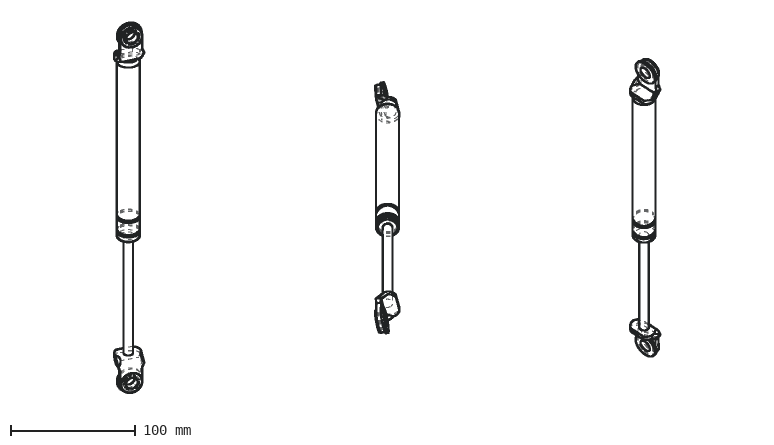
import cadquery as cq
import math

TOTAL_LENGTH = 345.0
MID_HEIGHT = TOTAL_LENGTH / 2

CYLINDER_RADIUS = 9.3
CYLINDER_BOTTOM = 143.0
NECK_RADIUS = 7.0
SHOULDER_HEIGHT = 3.0
BOTTOM_CHAMFER = 1.5
GROOVE_BOTTOMS = (148.5, 161.8)
GROOVE_WIDTH = 1.7
GROOVE_DEPTH = 0.7
ROD_RADIUS = 3.97

FLANGE_RADIUS = 10.5
OUTER_FLANGE_RADIUS = 9.0
INNER_FLANGE_THICKNESS = 2.0
OUTER_FLANGE_THICKNESS = 1.0
SLEEVE_RADIUS = 6.5
BORE_RADIUS = 5.0

SHEET = 3.8
PLATE_INNER_X = 3.5
PLATE_OUTER_X = PLATE_INNER_X + SHEET
BASE_FRONT_X = -8.3
BASE_HALF_WIDTH = 11.0
BASE_CORNER_START_X = -1.5
BASE_CORNER_RADIUS = 7.5
BEND_FILLET = 5.5
NECK_HALF_WIDTH = 9.3
BASE_BOTTOM = TOTAL_LENGTH - 34.0
BASE_TOP = BASE_BOTTOM + SHEET
SHOULDER_TOP = BASE_BOTTOM + 7.2
NECK_START = BASE_BOTTOM + 11.5
EYE_HEIGHT = TOTAL_LENGTH - FLANGE_RADIUS
CORNER_CUT = 7.2
CORNER_CUT_WIDTH = 4.0
GUSSET_LEG = 6.2
GUSSET_WIDTH = 3.5


def make_disc(radius, x_start, thickness):
    """Disc along +X, centred on the eye of the upper bracket."""
    start = cq.Vector(x_start, 0, EYE_HEIGHT)
    return cq.Workplane(cq.Solid.makeCylinder(radius, thickness, start, cq.Vector(1, 0, 0)))


def make_corner_wedges(x, half_width, z, x_leg, y_leg, z_leg):
    """Tetrahedron with legs along X, Y and Z from (x, -half_width, z), and its mirror image in Y."""
    corner = cq.Vector(x, -half_width, z)
    x_end = corner + cq.Vector(x_leg, 0, 0)
    y_end = corner + cq.Vector(0, y_leg, 0)
    z_end = corner + cq.Vector(0, 0, z_leg)
    triangles = [
        (corner, x_end, y_end),
        (corner, y_end, z_end),
        (corner, z_end, x_end),
        (x_end, y_end, z_end),
    ]
    faces = [cq.Face.makeFromWires(cq.Wire.makePolygon(points, close=True)) for points in triangles]
    wedge = cq.Workplane(cq.Solid.makeSolid(cq.Shell.makeShell(faces)))
    return wedge.union(wedge.mirror("XZ"))


def make_cylinder():
    length = BASE_BOTTOM - CYLINDER_BOTTOM
    body = (
        cq.Workplane("XY", origin=(0, 0, CYLINDER_BOTTOM))
        .circle(CYLINDER_RADIUS)
        .extrude(length)
        .faces(">Z")
        .chamfer(SHOULDER_HEIGHT, CYLINDER_RADIUS - NECK_RADIUS)
        .faces("<Z")
        .chamfer(BOTTOM_CHAMFER)
    )
    for groove_bottom in GROOVE_BOTTOMS:
        ring = (
            cq.Workplane("XY", origin=(0, 0, groove_bottom))
            .circle(CYLINDER_RADIUS)
            .circle(CYLINDER_RADIUS - GROOVE_DEPTH)
            .extrude(GROOVE_WIDTH)
        )
        body = body.cut(ring)
    return body


def make_rod():
    rod_bottom = TOTAL_LENGTH - BASE_BOTTOM
    return (
        cq.Workplane("XY", origin=(0, 0, rod_bottom))
        .circle(ROD_RADIUS)
        .extrude(CYLINDER_BOTTOM - rod_bottom)
    )


def make_bracket_blank():
    """L-shaped sheet at full base width, with a rounded bend."""
    base_length = PLATE_OUTER_X - BASE_FRONT_X
    plate_height = EYE_HEIGHT + NECK_HALF_WIDTH - BASE_BOTTOM
    return (
        cq.Workplane("XZ")
        .moveTo(BASE_FRONT_X, BASE_BOTTOM)
        .hLine(base_length)
        .vLine(plate_height)
        .hLine(-SHEET)
        .vLine(SHEET - plate_height)
        .hLine(SHEET - base_length)
        .close()
        .extrude(BASE_HALF_WIDTH, both=True)
        .edges("|Y and <Z and >X")
        .fillet(BEND_FILLET)
    )


def make_base_outline():
    """Block that rounds the front corners of the base with arcs that run out on its front edge."""
    arc_depth = BASE_CORNER_START_X - BASE_FRONT_X
    arc_drop = BASE_CORNER_RADIUS - math.sqrt(BASE_CORNER_RADIUS**2 - arc_depth**2)
    front_half_width = BASE_HALF_WIDTH - arc_drop
    return (
        cq.Workplane("XY", origin=(0, 0, BASE_BOTTOM))
        .moveTo(PLATE_OUTER_X, -BASE_HALF_WIDTH)
        .lineTo(PLATE_OUTER_X, BASE_HALF_WIDTH)
        .lineTo(BASE_CORNER_START_X, BASE_HALF_WIDTH)
        .radiusArc((BASE_FRONT_X, front_half_width), -BASE_CORNER_RADIUS)
        .lineTo(BASE_FRONT_X, -front_half_width)
        .radiusArc((BASE_CORNER_START_X, -BASE_HALF_WIDTH), -BASE_CORNER_RADIUS)
        .close()
        .extrude(TOTAL_LENGTH - BASE_BOTTOM)
    )


def make_bracket_outline():
    """Block that trims the plate to its tapered shoulders, neck and rounded eye."""
    return (
        cq.Workplane("YZ", origin=(BASE_FRONT_X, 0, 0))
        .moveTo(-BASE_HALF_WIDTH, BASE_BOTTOM)
        .lineTo(BASE_HALF_WIDTH, BASE_BOTTOM)
        .lineTo(BASE_HALF_WIDTH, SHOULDER_TOP)
        .lineTo(NECK_HALF_WIDTH, NECK_START)
        .lineTo(NECK_HALF_WIDTH, EYE_HEIGHT)
        .threePointArc((0, EYE_HEIGHT + NECK_HALF_WIDTH), (-NECK_HALF_WIDTH, EYE_HEIGHT))
        .lineTo(-NECK_HALF_WIDTH, NECK_START)
        .lineTo(-BASE_HALF_WIDTH, SHOULDER_TOP)
        .close()
        .extrude(PLATE_OUTER_X - BASE_FRONT_X)
    )


def make_bracket():
    """Upper bracket, stiffened by a gusset inside each end of the bend."""
    gussets = make_corner_wedges(
        PLATE_INNER_X, BASE_HALF_WIDTH, BASE_TOP, -GUSSET_LEG, GUSSET_WIDTH, GUSSET_LEG
    )
    corner_cuts = make_corner_wedges(
        PLATE_OUTER_X, BASE_HALF_WIDTH, BASE_BOTTOM, -CORNER_CUT, CORNER_CUT_WIDTH, CORNER_CUT
    )
    sleeve_hole = make_disc(SLEEVE_RADIUS, PLATE_INNER_X, SHEET)
    return (
        make_bracket_blank()
        .union(gussets)
        .intersect(make_base_outline())
        .intersect(make_bracket_outline())
        .cut(corner_cuts)
        .cut(sleeve_hole)
    )


def make_bushing():
    """Upper bushing, with its sleeve filling the bracket hole."""
    inner_x = PLATE_INNER_X - INNER_FLANGE_THICKNESS
    width = INNER_FLANGE_THICKNESS + SHEET + OUTER_FLANGE_THICKNESS
    return (
        make_disc(FLANGE_RADIUS, inner_x, INNER_FLANGE_THICKNESS)
        .union(make_disc(SLEEVE_RADIUS, PLATE_INNER_X, SHEET))
        .union(make_disc(OUTER_FLANGE_RADIUS, PLATE_OUTER_X, OUTER_FLANGE_THICKNESS))
        .cut(make_disc(BORE_RADIUS, inner_x, width))
    )


cylinder = make_cylinder()
rod = make_rod()

end_fittings = []
for is_lower in (False, True):
    for make_fitting in (make_bracket, make_bushing):
        fitting = make_fitting()
        if is_lower:
            fitting = fitting.mirror("XY", (0, 0, MID_HEIGHT))
        end_fittings.append(fitting.val())

result = cq.Compound.makeCompound([cylinder.val(), rod.val(), *end_fittings])